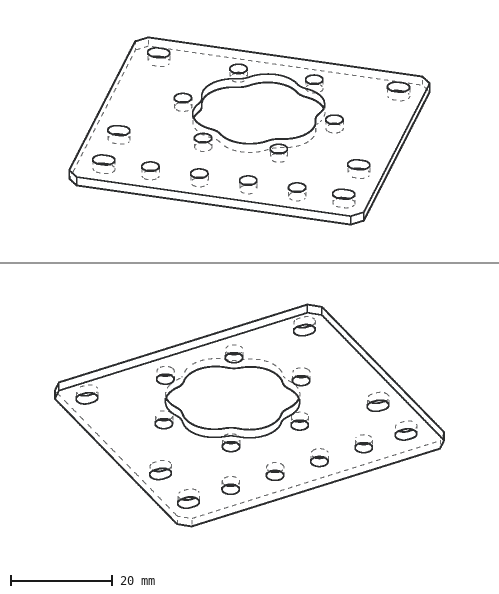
import cadquery as cq
import math

width = 60.0
depth = 53.9
thickness = 2.0
corner_cut = 2.1

hole_diameter = 3.4
slot_length = 4.4
slot_x = 24.4
row_y = -19.4
slot_rows = (21.9, -8.05, row_y)
row_hole_count = 4
row_hole_pitch = 9.95

lobe_count = 6
opening_y = 6.9
bolt_circle_radius = 15.4
lobe_reach = 13.2
lobe_radius = 6.35


def polar(radius, angle):
    """Point at a radius and angle about the opening centre."""
    return radius * math.cos(angle), opening_y + radius * math.sin(angle)


def make_plate():
    """Plate with four chamfered corners."""
    return (
        cq.Workplane("XY")
        .box(width, depth, thickness, centered=(True, True, False))
        .edges("|Z")
        .chamfer(corner_cut)
    )


def make_opening():
    """Opening of lobe arcs joined tangentially by arcs about the bolt holes."""
    half_step = math.pi / lobe_count
    lobe_offset = lobe_reach - lobe_radius
    along = bolt_circle_radius * math.cos(half_step) - lobe_offset
    across = bolt_circle_radius * math.sin(half_step)
    center_distance = math.hypot(along, across)
    valley_radius = center_distance - lobe_radius
    tangent_along = lobe_offset + lobe_radius * along / center_distance
    tangent_across = lobe_radius * across / center_distance
    tangent_distance = math.hypot(tangent_along, tangent_across)
    tangent_angle = math.atan2(tangent_across, tangent_along)

    outline = cq.Workplane("XY").moveTo(*polar(tangent_distance, half_step - tangent_angle))
    for index in range(lobe_count):
        lobe_angle = (2 * index + 1) * half_step
        valley_angle = lobe_angle + half_step
        next_start = lobe_angle + 2 * half_step - tangent_angle
        outline = outline.threePointArc(
            polar(lobe_reach, lobe_angle),
            polar(tangent_distance, lobe_angle + tangent_angle),
        ).threePointArc(
            polar(bolt_circle_radius - valley_radius, valley_angle),
            polar(tangent_distance, next_start),
        )
    return outline.close().extrude(thickness)


def make_round_holes():
    """Bolt circle around the opening and the straight row below it."""
    step = 2 * math.pi / lobe_count
    bolt_points = [polar(bolt_circle_radius, index * step) for index in range(lobe_count)]
    row_start = -row_hole_pitch * (row_hole_count - 1) / 2
    row_points = [(row_start + index * row_hole_pitch, row_y) for index in range(row_hole_count)]
    return (
        cq.Workplane("XY")
        .pushPoints(bolt_points + row_points)
        .circle(hole_diameter / 2)
        .extrude(thickness)
    )


def make_slots():
    """Slots in mirrored pairs near the left and right edges."""
    points = [(side * slot_x, y) for side in (-1, 1) for y in slot_rows]
    return cq.Workplane("XY").pushPoints(points).slot2D(slot_length, hole_diameter).extrude(thickness)


result = make_plate().cut(make_opening()).cut(make_round_holes()).cut(make_slots())